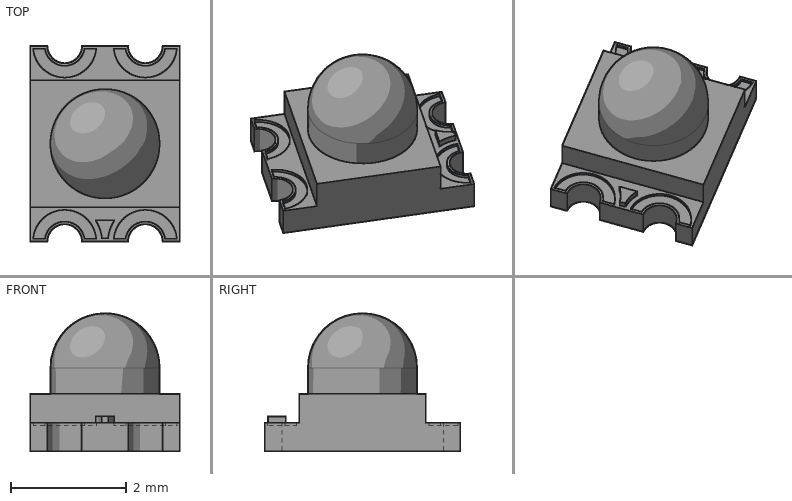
import cadquery as cq
import math

plate_width = 2.6
plate_length = 3.4
plate_height = 0.5

block_length = 2.2
block_height = 0.5
lens_diameter = 1.9
total_height = 2.4

terminal_x = 0.7
notch_radius = 0.3
rim = 0.048
pad_outer_radius = 0.55
pad_depth = 0.05

mark_side_radius = 0.65
mark_near = 0.055
mark_far = 0.367
mark_height = 0.105

lens_radius = lens_diameter / 2
block_top = plate_height + block_height
edge_y = plate_length / 2
terminal_centers = [(x, y) for x in (-terminal_x, terminal_x) for y in (-edge_y, edge_y)]


def make_body():
    """Plate and block, flush on the sides and stepped at the ends."""
    plate = cq.Workplane("XY").box(plate_width, plate_length, plate_height, centered=(True, True, False))
    block = cq.Workplane("XY").box(plate_width, block_length, block_top, centered=(True, True, False))
    return plate.union(block)


def make_lens():
    """Round column closed by a hemisphere, revolved about Z."""
    dome_base = total_height - lens_radius
    arc_offset = lens_radius * math.sqrt(0.5)
    return (
        cq.Workplane("XZ")
        .moveTo(0, plate_height)
        .lineTo(lens_radius, plate_height)
        .lineTo(lens_radius, dome_base)
        .threePointArc((arc_offset, dome_base + arc_offset), (0, total_height))
        .close()
        .revolve(360, (0, 0), (0, 1))
    )


def make_notches():
    return cq.Workplane("XY").pushPoints(terminal_centers).circle(notch_radius).extrude(plate_height)


def make_pads():
    """Shallow ring recesses around the notches, held back from the end edges by the rim."""
    rings = (
        cq.Workplane("XY", origin=(0, 0, plate_height - pad_depth))
        .pushPoints(terminal_centers)
        .circle(pad_outer_radius)
        .circle(notch_radius + rim)
        .extrude(pad_depth)
    )
    inside_rim = cq.Workplane("XY").box(
        plate_width, plate_length - 2 * rim, plate_height, centered=(True, True, False)
    )
    return rings.intersect(inside_rim)


def make_mark():
    """Flared mark whose sides are arcs concentric with the neighbouring notches."""

    def half_width(distance):
        return terminal_x - math.sqrt(mark_side_radius**2 - distance**2)

    mark_middle = (mark_near + mark_far) / 2
    near_y, middle_y, far_y = (-edge_y + d for d in (mark_near, mark_middle, mark_far))
    near_half, middle_half, far_half = (half_width(d) for d in (mark_near, mark_middle, mark_far))
    return (
        cq.Workplane("XY", origin=(0, 0, plate_height))
        .moveTo(-near_half, near_y)
        .lineTo(near_half, near_y)
        .threePointArc((middle_half, middle_y), (far_half, far_y))
        .lineTo(-far_half, far_y)
        .threePointArc((-middle_half, middle_y), (-near_half, near_y))
        .close()
        .extrude(mark_height)
    )


body = make_body().union(make_lens())
result = body.cut(make_notches()).cut(make_pads()).union(make_mark())